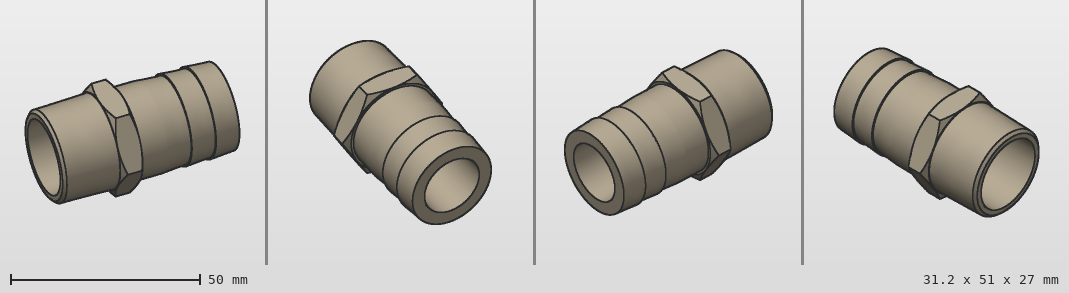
import cadquery as cq
import math

length = 51.0

thread_end_diameter = 25.7
thread_taper = 1 / 20
thread_length = 16.0
thread_chamfer = 0.85

hex_sides = 6
hex_across_flats = 27.0
hex_width = 6.5
hex_chamfer_angle = 30.0

barb_crest_diameter = 25.5
barb_root_diameter = 24.5
barb_pitch = 7.0
barb_count = 3

wide_bore_diameter = 21.0
narrow_bore_diameter = 17.0
bore_step_angle = 45.0

hex_start = thread_length
hex_end = hex_start + hex_width
wide_bore_depth = hex_end
hex_across_corners = hex_across_flats / math.cos(math.pi / hex_sides)
barbs_start = length - barb_count * barb_pitch


def turned(profile):
    """Revolve a closed outline of (radius, Y) points about the Y axis."""
    return cq.Workplane("XY").polyline(profile).close().revolve(360, (0, 0, 0), (0, 1, 0))


def make_thread_body():
    end_radius = thread_end_diameter / 2
    shoulder_radius = end_radius + thread_length * thread_taper / 2
    chamfer_radius = end_radius + thread_chamfer * thread_taper / 2
    return turned([
        (0, 0),
        (chamfer_radius - thread_chamfer, 0),
        (chamfer_radius, thread_chamfer),
        (shoulder_radius, hex_start),
        (0, hex_start),
    ])


def make_hexagon():
    """Hexagonal prism whose corners are cut by a cone at each end."""
    prism = (
        cq.Workplane("XZ", origin=(0, hex_start, 0))
        .polygon(hex_sides, hex_across_corners)
        .extrude(-hex_width)
    )
    face_radius = hex_across_flats / 2
    corner_radius = hex_across_corners / 2
    corner_drop = (corner_radius - face_radius) * math.tan(math.radians(hex_chamfer_angle))
    envelope = turned([
        (0, hex_start),
        (face_radius, hex_start),
        (corner_radius, hex_start + corner_drop),
        (corner_radius, hex_end - corner_drop),
        (face_radius, hex_end),
        (0, hex_end),
    ])
    return prism.intersect(envelope)


def make_hose_tail():
    """Plain collar followed by barbs that each narrow toward the open end."""
    crest_radius = barb_crest_diameter / 2
    root_radius = barb_root_diameter / 2
    profile = [(0, hex_end), (crest_radius, hex_end)]
    for barb in range(barb_count):
        barb_start = barbs_start + barb * barb_pitch
        profile.append((crest_radius, barb_start))
        profile.append((root_radius, barb_start + barb_pitch))
    profile.append((0, length))
    return turned(profile)


def make_bore():
    wide_radius = wide_bore_diameter / 2
    narrow_radius = narrow_bore_diameter / 2
    step_length = (wide_radius - narrow_radius) / math.tan(math.radians(bore_step_angle))
    return turned([
        (0, 0),
        (wide_radius, 0),
        (wide_radius, wide_bore_depth),
        (narrow_radius, wide_bore_depth + step_length),
        (narrow_radius, length),
        (0, length),
    ])


body = make_thread_body().union(make_hexagon()).union(make_hose_tail())
result = body.cut(make_bore())